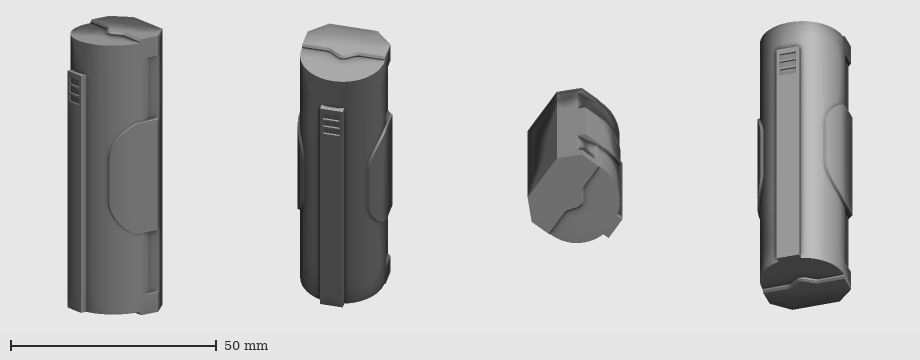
import cadquery as cq
import math

BODY_RADIUS = 10.4
BODY_LENGTH = 70.0
BACK_Y = BODY_RADIUS
BACK_HALF_WIDTH = 6.05
SIDE_END_Y = -0.35

STEP_HEIGHT = 0.9
STEP_WALL_Y = 0.5
STEP_CHAMFER = 0.5
TONGUE_HALF_WIDTH = 3.5
TONGUE_DEPTH = 2.55
TONGUE_RADIUS = 2.0

WING_RADIUS = 11.0
WING_HALF_LENGTH = 14.0
WING_TIP_Y = -7.05
WING_TIP_HALF_LENGTH = 5.3

RECESS_LENGTH = 16.0
RECESS_FLOOR_X = 9.5
RECESS_ARC_END_Y = 3.0

RAIL_WIDTH = 5.7
TOTAL_DEPTH = 22.0
RAIL_FRONT_Y = BACK_Y - TOTAL_DEPTH
RAIL_TOP_Z = 26.0
GRIP_WIDTH = 4.2
GRIP_HEIGHT = 1.7
GRIP_PITCH = 2.2
GRIP_COUNT = 3
GRIP_DEPTH = 0.5
FIRST_GRIP_Z = 23.7

HALF_LENGTH = BODY_LENGTH / 2
FRONT_HALF_LENGTH = HALF_LENGTH - STEP_HEIGHT


def section(radius, half_length):
    """Prism with a round front, flat sides and 45-degree back chamfers."""
    corner_y = BACK_Y - (radius - BACK_HALF_WIDTH)
    return (
        cq.Workplane("XY", origin=(0, 0, -half_length))
        .moveTo(-BACK_HALF_WIDTH, BACK_Y)
        .lineTo(BACK_HALF_WIDTH, BACK_Y)
        .lineTo(radius, corner_y)
        .lineTo(radius, SIDE_END_Y)
        .threePointArc((0, -radius), (-radius, SIDE_END_Y))
        .lineTo(-radius, corner_y)
        .close()
        .extrude(2 * half_length)
    )


def back_plate():
    """Full-length region behind the step wall, with its tongue and chamfered rims."""
    reach = 2 * WING_RADIUS
    plate = (
        cq.Workplane("XY", origin=(0, 0, -HALF_LENGTH))
        .moveTo(-reach, reach)
        .lineTo(-reach, STEP_WALL_Y)
        .lineTo(-TONGUE_HALF_WIDTH, STEP_WALL_Y)
        .lineTo(0, STEP_WALL_Y - TONGUE_DEPTH)
        .lineTo(TONGUE_HALF_WIDTH, STEP_WALL_Y)
        .lineTo(reach, STEP_WALL_Y)
        .lineTo(reach, reach)
        .close()
        .extrude(BODY_LENGTH)
    )
    tongue_box = cq.selectors.BoxSelector(
        (-reach / 2, -reach / 2, -BODY_LENGTH),
        (reach / 2, reach / 2, BODY_LENGTH),
    )
    plate = plate.edges("|Z").edges(tongue_box).fillet(TONGUE_RADIUS)
    rim_box = cq.selectors.BoxSelector(
        (-2 * reach, -reach / 2, -BODY_LENGTH),
        (2 * reach, reach / 4, BODY_LENGTH),
    )
    return plate.faces("|Z").edges(rim_box).chamfer(STEP_CHAMFER)


def body():
    front = section(BODY_RADIUS, FRONT_HALF_LENGTH)
    back = section(BODY_RADIUS, HALF_LENGTH).intersect(back_plate())
    return front.union(back)


def wings():
    """Thick section trimmed to a side outline with rounded front corners."""
    rise = WING_HALF_LENGTH - WING_TIP_HALF_LENGTH
    run = SIDE_END_Y - WING_TIP_Y
    corner_radius = (run**2 + rise**2) / (2 * run)
    mid_angle = math.asin(rise / corner_radius) / 2
    mid_y = WING_TIP_Y + corner_radius * (1 - math.cos(mid_angle))
    mid_z = WING_TIP_HALF_LENGTH + corner_radius * math.sin(mid_angle)
    outline = (
        cq.Workplane("YZ", origin=(-WING_RADIUS, 0, 0))
        .moveTo(BACK_Y, -WING_HALF_LENGTH)
        .lineTo(SIDE_END_Y, -WING_HALF_LENGTH)
        .threePointArc((mid_y, -mid_z), (WING_TIP_Y, -WING_TIP_HALF_LENGTH))
        .lineTo(WING_TIP_Y, WING_TIP_HALF_LENGTH)
        .threePointArc((mid_y, mid_z), (SIDE_END_Y, WING_HALF_LENGTH))
        .lineTo(BACK_Y, WING_HALF_LENGTH)
        .close()
        .extrude(2 * WING_RADIUS)
    )
    return section(WING_RADIUS, WING_HALF_LENGTH).intersect(outline)


def side_recess(bottom_z):
    """Cutter for one recess on the -X side: flat floor, arc, then a tangent ramp."""
    arc_start_y = math.sqrt(BODY_RADIUS**2 - RECESS_FLOOR_X**2)
    arc_mid_y = (arc_start_y + RECESS_ARC_END_Y) / 2
    arc_mid_x = math.sqrt(BODY_RADIUS**2 - arc_mid_y**2)
    arc_end_x = math.sqrt(BODY_RADIUS**2 - RECESS_ARC_END_Y**2)
    ramp_slope = RECESS_ARC_END_Y / arc_end_x
    ramp_end_y = RECESS_ARC_END_Y - (WING_RADIUS - arc_end_x) / ramp_slope
    return (
        cq.Workplane("XY", origin=(0, 0, bottom_z))
        .moveTo(-WING_RADIUS, BACK_Y)
        .lineTo(-RECESS_FLOOR_X, BACK_Y)
        .lineTo(-RECESS_FLOOR_X, arc_start_y)
        .threePointArc((-arc_mid_x, arc_mid_y), (-arc_end_x, RECESS_ARC_END_Y))
        .lineTo(-WING_RADIUS, ramp_end_y)
        .close()
        .extrude(RECESS_LENGTH)
    )


def rail():
    length = RAIL_TOP_Z + FRONT_HALF_LENGTH
    bar = cq.Workplane("XY").box(
        RAIL_WIDTH, -RAIL_FRONT_Y, length, centered=(True, False, False)
    )
    bar = bar.translate((0, RAIL_FRONT_Y, -FRONT_HALF_LENGTH))
    for index in range(GRIP_COUNT):
        grip = cq.Workplane("XY").box(GRIP_WIDTH, 2 * GRIP_DEPTH, GRIP_HEIGHT)
        bar = bar.cut(grip.translate((0, RAIL_FRONT_Y, FIRST_GRIP_Z - index * GRIP_PITCH)))
    return bar


result = body()
for recess_bottom_z in (WING_HALF_LENGTH, -WING_HALF_LENGTH - RECESS_LENGTH):
    recess = side_recess(recess_bottom_z)
    result = result.cut(recess).cut(recess.mirror("YZ"))
result = result.union(wings()).union(rail())